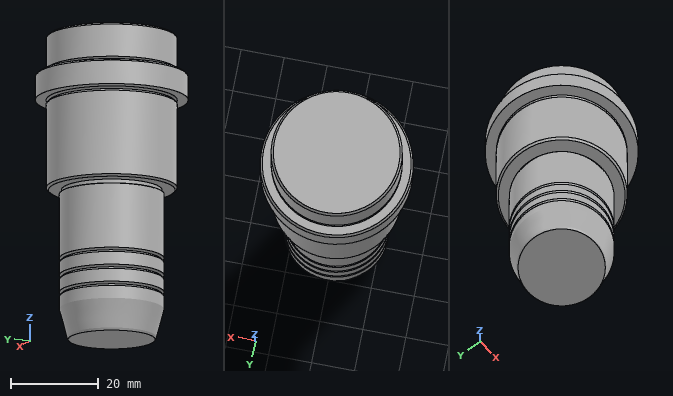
import cadquery as cq
import math

total_height = 71.0
collar_radius = 17.5
body_radius = 15.0
stem_radius = 12.0
edge_chamfer = 0.5
relief_depth = 0.5

collar_top = 62.0
collar_bottom = 56.0
body_bottom = 35.0
stem_top = 34.0

taper_top = 7.0
taper_angle = 15.0
tip_chamfer_height = 0.5
tip_chamfer_width = 0.3

groove_width = 1.0
groove_count = 3
groove_pitch = 4.0
lowest_groove = 10.5


def cylinder(radius, bottom, top):
    return cq.Workplane("XY").workplane(offset=bottom).circle(radius).extrude(top - bottom)


def revolve_profile(points):
    """Turn a closed (radius, height) outline around the Z axis."""
    return cq.Workplane("XZ").polyline(points).close().revolve(360, (0, 0, 0), (0, 1, 0))


def make_tip():
    taper_run = (taper_top - tip_chamfer_height) * math.tan(math.radians(taper_angle))
    taper_end_radius = stem_radius - taper_run
    return revolve_profile([
        (0, 0),
        (taper_end_radius - tip_chamfer_width, 0),
        (taper_end_radius, tip_chamfer_height),
        (stem_radius, taper_top),
        (0, taper_top),
    ])


def make_groove(radius, center):
    """Ring with a triangular section, its point at the groove floor."""
    return revolve_profile([
        (radius, center - groove_width / 2),
        (radius - relief_depth, center),
        (radius, center + groove_width / 2),
    ])


body = cylinder(body_radius, body_bottom, total_height).faces("<Z or >Z").chamfer(edge_chamfer)
for groove_center in (collar_bottom - groove_width / 2, collar_top + groove_width / 2):
    body = body.cut(make_groove(body_radius, groove_center))

collar = cylinder(collar_radius, collar_bottom, collar_top).faces(">Z").chamfer(edge_chamfer)

stem = cylinder(stem_radius, taper_top, stem_top)
for index in range(groove_count):
    stem = stem.cut(make_groove(stem_radius, lowest_groove + index * groove_pitch))
stem_neck = cylinder(stem_radius - relief_depth, stem_top, body_bottom)

result = make_tip()
for section in (stem, stem_neck, body, collar):
    result = result.union(section)